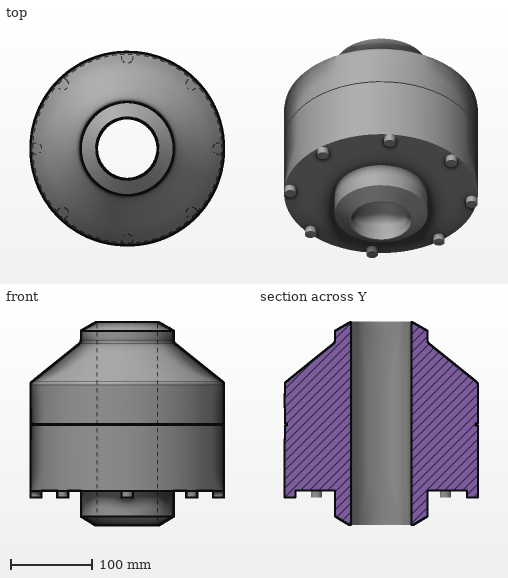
import cadquery as cq

total_height = 250.0
body_radius = 238.0 / 2
neck_radius = 114.2 / 2
bore_radius = 74.2 / 2

top_face_radius = 38.0
bottom_face_radius = 39.0
bevel_height = 11.0

body_bottom = 42.2
cone_bottom = 175.0
cone_top = 224.8
blend_radius = 5.0

groove_radius = 232.0 / 2
groove_bottom = 123.2
groove_width = 1.5
cutter_overhang = 2.5

pin_count = 8
pin_radius = 14.0 / 2
pin_length = 8.2
pin_circle_radius = body_radius - pin_radius


def turned_body():
    """Revolve the solid half section with necks, body and cone."""
    profile = [
        (0, 0),
        (bottom_face_radius, 0),
        (neck_radius, bevel_height),
        (neck_radius, body_bottom),
        (body_radius, body_bottom),
        (body_radius, cone_bottom),
        (neck_radius, cone_top),
        (neck_radius, total_height - bevel_height),
        (top_face_radius, total_height),
        (0, total_height),
    ]
    return cq.Workplane("XZ").polyline(profile).close().revolve(360, (0, 0), (0, 1))


def blend_cone_edges(body):
    """Round the two circular edges where the cone starts and ends."""
    margin = 0.2
    cone_edges = cq.selectors.BoxSelector(
        (-body_radius, -body_radius, cone_bottom - margin),
        (body_radius, body_radius, cone_top + margin),
    )
    return body.edges(cone_edges).edges("%CIRCLE").fillet(blend_radius)


def groove_ring():
    """Ring to cut away, reaching past the outer wall."""
    return (
        cq.Workplane("XY", origin=(0, 0, groove_bottom))
        .circle(body_radius + cutter_overhang)
        .circle(groove_radius)
        .extrude(groove_width)
    )


def pins():
    """Circle of bolt ends hanging below the body."""
    return (
        cq.Workplane("XY", origin=(0, 0, body_bottom))
        .polarArray(pin_circle_radius, 0, 360, pin_count)
        .circle(pin_radius)
        .extrude(-pin_length)
    )


bore = cq.Workplane("XY").circle(bore_radius).extrude(total_height)

result = blend_cone_edges(turned_body()).cut(groove_ring()).union(pins()).cut(bore)